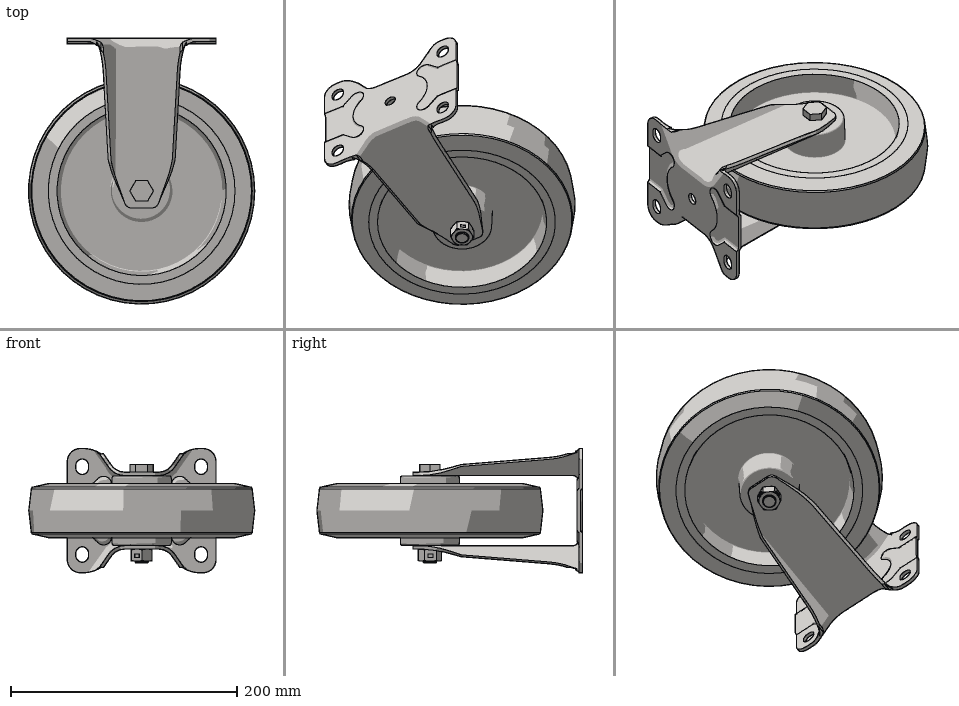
import cadquery as cq
import math


overall_length = 235

wheel_diameter = 200.0
wheel_radius = wheel_diameter / 2
wheel_half_width = 24.0
rim_radius = 82.5
recess_radius = 74.7
recess_floor_radius = 71.5
web_half_thickness = 5.9
web_fillet = 1.0
tread_edge_radius = 97.8
tread_edge_z = 19.3
shoulder_radius = 97.0
shoulder_z = 20.7

edge_search = 0.2

hub_top_radius = 26.0
hub_base_radius = 27.0
hub_half_length = 30.8
hub_edge_fillet = 1.9
sleeve_radius = 9.9

sheet = 3.0
wheel_gap_half = 31.0
leg_face_z = wheel_gap_half + sheet
plate_back_y = overall_length - wheel_radius
plate_half_x = 65.8
plate_half_z = 55.0
plate_corner_radius = 11.7
ear_sweep_start_x = 51.7
ear_sweep_radius = 28.2
ear_sweep_angle = math.radians(34)
bend_radius = 9.5

channel_flat_half = 15.0
channel_roll_radius = 14
flange_angle = math.radians(55)
channel_reach_x = 75.2
flange_sin = math.sin(flange_angle)
flange_cos = math.cos(flange_angle)
flange_start_x = channel_flat_half + channel_roll_radius * flange_sin
flange_start_z = leg_face_z + channel_roll_radius * (1 - flange_cos)

tip_y = -15.0
tip_flat_half = 9.5
tip_corner_x = 13.2
tip_corner_y = -13.5
taper_start_y = -10.5
taper_end_y = 28.0
flange_width_low = 1.0
flange_bend_y = 104.5
flange_width_high = 8.5
flange_flare_y = 121.0
flange_width_flare = 12.2
flange_width_plate = 19.7
flange_cut_depth = 6.8
cut_overrun = 9.2

slot_spacing_x = 105.0
slot_spacing_z = 77.5
slot_width = 11.0
slot_length = 13.5
centre_hole_diameter = 10.0

pad_height = 2.0
pad_taper = 45
pad_edge_fillet = 3.8
pad_half_z = 19.7
pad_straight_x = 47.5
pad_waist_x = 37.1
pad_ear_x = 33.5
pad_ear_z = 23.3
pad_ear_radius = 7

bolt_diameter = 12.0
hex_flats = 18.0
head_height = 6.8
bolt_end_z = -46.3
bolt_end_chamfer = 0.7
nut_height = 10.5
nut_chamfer_height = 0.7
nut_chamfer_width = 1.2
crimp_angles = (30, 150, 270)
nut_turn = 92.5
crimp_width = 4.5
crimp_height = 2.8
crimp_depth = 0.5
crimp_z = -40


def revolved(points):
    """Solid of revolution about Z from (radius, z) points."""
    return cq.Workplane("XZ").polyline(points).close().revolve(360, (0, 0), (0, 1))


def make_tyre():
    return revolved([
        (rim_radius, -wheel_half_width),
        (shoulder_radius, -shoulder_z),
        (tread_edge_radius, -tread_edge_z),
        (wheel_radius, 0),
        (tread_edge_radius, tread_edge_z),
        (shoulder_radius, shoulder_z),
        (rim_radius, wheel_half_width),
    ])


def circles_at(z):
    """Selector for the rim edges that lie flat at height z."""
    low = (-rim_radius, -rim_radius, z - edge_search)
    high = (rim_radius, rim_radius, z + edge_search)
    return cq.selectors.BoxSelector(low, high, boundingbox=True)


def make_rim():
    """Rim, web and hub in one piece, with a recess on each side of the web."""
    upper = [
        (rim_radius, wheel_half_width),
        (recess_radius, wheel_half_width),
        (recess_floor_radius, web_half_thickness),
        (hub_base_radius, web_half_thickness),
        (hub_top_radius, hub_half_length),
        (sleeve_radius, hub_half_length),
    ]
    lower = [(radius, -z) for radius, z in reversed(upper)]
    rim = revolved(upper + lower)
    for side in (-1, 1):
        web_corners = circles_at(side * web_half_thickness)
        rim = rim.edges(web_corners).fillet(web_fillet)
        hub_circles = circles_at(side * hub_half_length)
        rim = rim.edges(hub_circles).edges(cq.selectors.RadiusNthSelector(-1)).fillet(hub_edge_fillet)
    return rim


def make_sleeve():
    sleeve = cq.Workplane("XY").circle(sleeve_radius).circle(bolt_diameter / 2)
    return sleeve.extrude(wheel_gap_half, both=True)


def channel_block(inset):
    """Block bounded by both leg channels and the plate, all moved inwards by inset."""
    radius = channel_roll_radius + inset
    face_z = leg_face_z - inset
    end_x = channel_flat_half + radius * flange_sin
    end_z = face_z + radius * (1 - flange_cos)
    mid_x = channel_flat_half + radius * math.sin(flange_angle / 2)
    mid_z = face_z + radius * (1 - math.cos(flange_angle / 2))
    far_z = end_z + (channel_reach_x - end_x) * math.tan(flange_angle)
    profile = (
        cq.Workplane("XZ", origin=(0, plate_back_y - inset, 0))
        .moveTo(channel_reach_x, far_z)
        .lineTo(end_x, end_z)
        .threePointArc((mid_x, mid_z), (channel_flat_half, face_z))
        .lineTo(-channel_flat_half, face_z)
        .threePointArc((-mid_x, mid_z), (-end_x, end_z))
        .lineTo(-channel_reach_x, far_z)
        .lineTo(-channel_reach_x, -far_z)
        .lineTo(-end_x, -end_z)
        .threePointArc((-mid_x, -mid_z), (-channel_flat_half, -face_z))
        .lineTo(channel_flat_half, -face_z)
        .threePointArc((mid_x, -mid_z), (end_x, -end_z))
        .lineTo(channel_reach_x, -far_z)
        .close()
    )
    block = profile.extrude(plate_back_y - 2 * tip_y)
    return block.faces(">Y").edges("not |Z").fillet(bend_radius - inset)


def ear_sweep_cutter():
    """Material between the two upper ears, bounded by the arcs that run down to the leg."""
    end_x = ear_sweep_start_x - ear_sweep_radius * math.sin(ear_sweep_angle)
    end_z = plate_half_z - ear_sweep_radius * (1 - math.cos(ear_sweep_angle))
    mid_x = ear_sweep_start_x - ear_sweep_radius * math.sin(ear_sweep_angle / 2)
    mid_z = plate_half_z - ear_sweep_radius * (1 - math.cos(ear_sweep_angle / 2))
    return (
        cq.Workplane("XZ", origin=(0, plate_back_y, 0))
        .moveTo(ear_sweep_start_x, plate_half_z)
        .threePointArc((mid_x, mid_z), (end_x, end_z))
        .lineTo(0, plate_half_z)
        .lineTo(-end_x, end_z)
        .threePointArc((-mid_x, mid_z), (-ear_sweep_start_x, plate_half_z))
        .close()
        .extrude(plate_back_y - tip_y)
    )


def bracket_envelope():
    """Plate outline seen along Y, crossed with the leg tip outline seen along Z."""
    length = plate_back_y - tip_y
    ears = cq.Workplane("XZ", origin=(0, plate_back_y, 0)).rect(2 * plate_half_x, 2 * plate_half_z)
    ears = ears.extrude(length).edges("|Y").fillet(plate_corner_radius)
    plate = ears.cut(with_mirrors(ear_sweep_cutter(), ("XY",)))
    tip = (
        cq.Workplane("XY")
        .moveTo(plate_half_x, plate_back_y)
        .lineTo(plate_half_x, taper_start_y)
        .lineTo(channel_flat_half, taper_start_y)
        .threePointArc((tip_corner_x, tip_corner_y), (tip_flat_half, tip_y))
        .lineTo(-tip_flat_half, tip_y)
        .threePointArc((-tip_corner_x, tip_corner_y), (-channel_flat_half, taper_start_y))
        .lineTo(-plate_half_x, taper_start_y)
        .lineTo(-plate_half_x, plate_back_y)
        .close()
        .extrude(plate_half_z, both=True)
    )
    return plate.intersect(tip)


def flange_cutter():
    """Material beyond the edge of one flange, cut square to the sheet."""
    plane = cq.Plane(
        origin=(flange_start_x, 0, flange_start_z),
        xDir=(flange_cos, 0, flange_sin),
        normal=(-flange_sin, 0, flange_cos),
    )
    return (
        cq.Workplane(plane)
        .workplane(offset=sheet)
        .moveTo(flange_width_low, taper_end_y)
        .lineTo(flange_width_high, flange_bend_y)
        .threePointArc((flange_width_flare, flange_flare_y), (flange_width_plate, plate_back_y))
        .lineTo(channel_reach_x, plate_back_y)
        .lineTo(channel_reach_x, taper_end_y)
        .close()
        .extrude(-flange_cut_depth)
    )


def taper_cutter():
    """Ruled cut beside the leg tip, square to the sheet at both of its ends."""
    over = cut_overrun
    edge_x = flange_start_x + flange_width_low * flange_cos
    edge_z = flange_start_z + flange_width_low * flange_sin
    top_z = plate_half_z + over
    low_end = [
        (channel_flat_half, leg_face_z + over),
        (channel_flat_half, leg_face_z - over),
        (plate_half_x, leg_face_z - over),
        (plate_half_x, top_z),
        (channel_flat_half, top_z),
    ]
    high_end = [
        (edge_x - over * flange_sin, edge_z + over * flange_cos),
        (edge_x + over * flange_sin, edge_z - over * flange_cos),
        (plate_half_x, edge_z - over * flange_cos),
        (plate_half_x, top_z),
        (edge_x - over * flange_sin, top_z),
    ]
    return (
        cq.Workplane("XZ", origin=(0, taper_start_y, 0))
        .polyline(low_end)
        .close()
        .workplane(offset=taper_start_y - taper_end_y)
        .polyline(high_end)
        .close()
        .loft(ruled=True)
    )


def pad(face_y):
    """Raised pad at the -X edge, growing towards -Y from the plane face_y.

    Its inner side is a concave waist arc that runs tangentially into a round ear at each end.
    """
    to_ear_x = pad_straight_x - pad_ear_x
    to_ear_z = pad_ear_z - pad_half_z
    to_ear = math.hypot(to_ear_x, to_ear_z)
    rise_angle = math.atan2(to_ear_z, to_ear_x) + math.asin(pad_ear_radius / to_ear)
    touch_x = -pad_ear_x - pad_ear_radius * math.sin(rise_angle)
    touch_z = pad_ear_z + pad_ear_radius * math.cos(rise_angle)
    ear_to_waist = pad_waist_x - pad_ear_x
    waist_radius = (pad_ear_z**2 + ear_to_waist**2 - pad_ear_radius**2) / (2 * (pad_ear_radius + ear_to_waist))
    waist_angle = math.atan2(pad_ear_z, waist_radius - ear_to_waist)
    join_x = -pad_ear_x + pad_ear_radius * math.cos(waist_angle)
    join_z = pad_ear_z - pad_ear_radius * math.sin(waist_angle)
    crown_angle = (math.pi / 2 + rise_angle - waist_angle) / 2
    crown_x = -pad_ear_x + pad_ear_radius * math.cos(crown_angle)
    crown_z = pad_ear_z + pad_ear_radius * math.sin(crown_angle)
    blank = (
        cq.Workplane("XZ", origin=(0, face_y, 0))
        .moveTo(-channel_reach_x, pad_half_z)
        .lineTo(-pad_straight_x, pad_half_z)
        .lineTo(touch_x, touch_z)
        .threePointArc((crown_x, crown_z), (join_x, join_z))
        .threePointArc((-pad_waist_x, 0), (join_x, -join_z))
        .threePointArc((crown_x, -crown_z), (touch_x, -touch_z))
        .lineTo(-pad_straight_x, -pad_half_z)
        .lineTo(-channel_reach_x, -pad_half_z)
        .close()
        .extrude(pad_height, taper=pad_taper)
    )
    return blank.faces("<Y").edges().fillet(pad_edge_fillet)


def with_mirrors(cutter, planes):
    """Cutter together with its mirror images in the given planes."""
    for plane in planes:
        cutter = cutter.union(cutter.mirror(plane))
    return cutter


def make_bracket():
    bracket = channel_block(0).cut(channel_block(sheet))
    bracket = bracket.cut(with_mirrors(flange_cutter(), ("YZ", "XY")))
    bracket = bracket.cut(with_mirrors(taper_cutter(), ("YZ", "XY")))
    bracket = bracket.union(with_mirrors(pad(plate_back_y - sheet), ("YZ",)))
    bracket = bracket.cut(with_mirrors(pad(plate_back_y), ("YZ",)))
    bracket = bracket.intersect(bracket_envelope())
    plate_plane = cq.Workplane("XZ", origin=(0, plate_back_y, 0))
    slots = (
        plate_plane.rect(slot_spacing_x, slot_spacing_z, forConstruction=True)
        .vertices()
        .slot2D(slot_length, slot_width, 90)
        .extrude(2 * sheet)
    )
    centre_hole = plate_plane.circle(centre_hole_diameter / 2).extrude(2 * sheet)
    bolt_hole = cq.Workplane("XY").circle(bolt_diameter / 2).extrude(2 * leg_face_z, both=True)
    return bracket.cut(slots).cut(centre_hole).cut(bolt_hole)


def hexagon(z):
    corner_diameter = hex_flats / math.cos(math.pi / 6)
    return cq.Workplane("XY", origin=(0, 0, z)).polygon(6, corner_diameter)


def make_bolt():
    head = hexagon(leg_face_z).extrude(head_height)
    shank = (
        cq.Workplane("XY", origin=(0, 0, bolt_end_z))
        .circle(bolt_diameter / 2)
        .extrude(leg_face_z - bolt_end_z)
        .faces("<Z")
        .chamfer(bolt_end_chamfer)
    )
    return head.union(shank)


def make_nut():
    """Crimped lock nut with a dent on every second flat."""
    corner_radius = hex_flats / 2 / math.cos(math.pi / 6)
    nut = hexagon(-leg_face_z - nut_height).extrude(nut_height)
    round_blank = (
        cq.Workplane("XY", origin=(0, 0, -leg_face_z - nut_height))
        .circle(corner_radius)
        .extrude(nut_height)
        .faces("<Z or >Z")
        .edges()
        .chamfer(nut_chamfer_height, nut_chamfer_width)
    )
    nut = nut.intersect(round_blank)
    for angle in crimp_angles:
        dent = (
            cq.Workplane("XY")
            .box(2 * crimp_depth, crimp_width, crimp_height)
            .translate((hex_flats / 2, 0, crimp_z))
            .rotate((0, 0, 0), (0, 0, 1), angle)
        )
        nut = nut.cut(dent)
    bore = cq.Workplane("XY").circle(bolt_diameter / 2).extrude(2 * bolt_end_z)
    return nut.cut(bore).rotate((0, 0, 0), (0, 0, 1), nut_turn)


tyre = make_tyre()
rim = make_rim()
sleeve = make_sleeve()
bracket = make_bracket()
bolt = make_bolt()
nut = make_nut()

result = cq.Compound.makeCompound([
    tyre.val(),
    rim.val(),
    sleeve.val(),
    bracket.val(),
    bolt.val(),
    nut.val(),
])